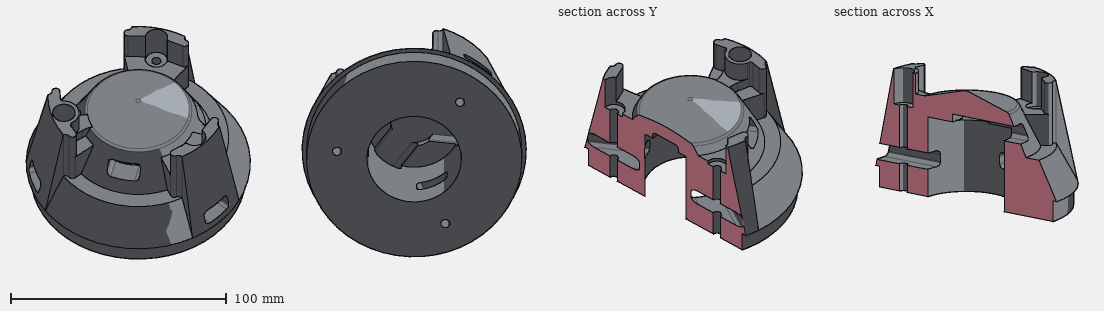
import cadquery as cq
import math

BASE_TOP = 10.0
SHOULDER_Z = 28.3
FLAT_Z = 43.3
WEB_TOP = 48.4
APEX_Z = 54.7
TOTAL_HEIGHT = 58.2
CEILING_Z = 38.3
COUNTERBORE_FLOOR = 41.5

RIM_RADIUS = 51.9
BASE_RADIUS = 49.8
SHOULDER_RADIUS = 41.8
DOME_FOOT_RADIUS = 34.5
DOME_EDGE_RADIUS = 24.4
DOME_EDGE_Z = 48.2
DOME_EDGE_ROUND = 1.9
APEX_RADIUS = 1.1
BORE_RADIUS = 21.8
CORE_RADIUS = 10.9
RECESS_FLAT_Y = -7.8

WINDOW_WIDTH = 15.5
WINDOW_HEIGHT = 7.7
WINDOW_ROUND = 2.1
LOWER_WINDOW_Z = 17.1
UPPER_WINDOW_Z = 38.2

COLUMN_ANGLES = (0, 120, 240)
HALF_TURN = 180
SCREW_CIRCLE = 35.9
SCREW_RADIUS = 2.1
COUNTERBORE_RADIUS = 5.2
FLAT_HALF_ANGLE = math.radians(23.4)
FLANK_HALF_ANGLE = math.radians(17.5)
FLANK_START = 39.9
INNER_WALL_MID = 36.9
INNER_WALL_SLOPE = 0.22
LIP_ROUND = 1.9
LIP_END_ANGLE = math.radians(72)

BOSS_RADIUS = 7.1
WEB_HALF_WIDTH = 3.9
WEB_CURVE = 13.0
WEB_FLARE = math.radians(20)
WEB_INNER_END = 20.8
BOSS_NECK = (7.5, 34.9)
NECK_START_RADIUS = 34.4
NECK_END_HALF_WIDTH = 8.6

OUTSIDE = 62.3


def at(point):
    """Turn (half width, distance from the axis) into XY, with the column toward -Y."""
    half_width, distance = point
    return (half_width, -distance)


def both_sides(half):
    return half.union(half.mirror("YZ"))


def turned(shape, angle):
    return shape.rotate((0, 0, 0), (0, 0, 1), angle)


def turned_body():
    body = (
        cq.Workplane("XZ")
        .polyline([
            (0, 0),
            (BASE_RADIUS, 0),
            (BASE_RADIUS, BASE_TOP),
            (RIM_RADIUS, BASE_TOP),
            (SHOULDER_RADIUS, SHOULDER_Z),
            (DOME_FOOT_RADIUS, SHOULDER_Z),
            (DOME_EDGE_RADIUS, DOME_EDGE_Z),
            (APEX_RADIUS, APEX_Z),
            (0, APEX_Z),
        ])
        .close()
        .revolve(360, (0, 0), (0, 1))
    )
    band = 0.1
    dome_edge = cq.selectors.BoxSelector(
        (-OUTSIDE, -OUTSIDE, DOME_EDGE_Z - band),
        (OUTSIDE, OUTSIDE, DOME_EDGE_Z + band),
        boundingbox=True,
    )
    return body.edges(dome_edge).fillet(DOME_EDGE_ROUND)


def column_envelope():
    """Cone that bounds the outer faces of all columns."""
    return (
        cq.Workplane("XZ")
        .polyline([
            (0, BASE_TOP),
            (RIM_RADIUS, BASE_TOP),
            (SHOULDER_RADIUS, TOTAL_HEIGHT),
            (0, TOTAL_HEIGHT),
        ])
        .close()
        .revolve(360, (0, 0), (0, 1))
    )


def inner_wall(half_width):
    return (half_width, INNER_WALL_MID - INNER_WALL_SLOPE * half_width)


def lip_centre():
    """Centre of the lip, which is tangent to the inner wall and to the side of the flat."""
    sine = math.sin(FLAT_HALF_ANGLE)
    cosine = math.cos(FLAT_HALF_ANGLE)
    offset_mid = INNER_WALL_MID + LIP_ROUND * math.hypot(1, INNER_WALL_SLOPE)
    half_width = (offset_mid * sine - LIP_ROUND) / (cosine + INNER_WALL_SLOPE * sine)
    return (half_width, offset_mid - INNER_WALL_SLOPE * half_width)


def on_lip(angle):
    """Point on the lip; the angle runs from straight sideways toward the rim."""
    half_width, distance = lip_centre()
    return (half_width + LIP_ROUND * math.cos(angle), distance + LIP_ROUND * math.sin(angle))


def boss_tangent_point():
    """Where the flared side of the web touches the boss."""
    return (
        BOSS_RADIUS * math.cos(WEB_FLARE),
        SCREW_CIRCLE - BOSS_RADIUS * math.sin(WEB_FLARE),
    )


def column(with_boss):
    outline = cq.Workplane("XY").workplane(offset=BASE_TOP)
    if with_boss:
        touch = boss_tangent_point()
        middle_angle = (math.pi / 2 + WEB_FLARE) / 2
        boss_middle = (
            BOSS_RADIUS * math.cos(middle_angle),
            SCREW_CIRCLE - BOSS_RADIUS * math.sin(middle_angle),
        )
        neck_start = (
            touch[0] + (NECK_START_RADIUS - touch[1]) * math.tan(WEB_FLARE),
            NECK_START_RADIUS,
        )
        outline = (
            outline.moveTo(*at((0, SCREW_CIRCLE - BOSS_RADIUS)))
            .threePointArc(at(boss_middle), at(touch))
            .lineTo(*at(neck_start))
            .threePointArc(at(BOSS_NECK), at(inner_wall(NECK_END_HALF_WIDTH)))
        )
    else:
        outline = outline.moveTo(*at(inner_wall(0)))
    flank = math.tan(FLANK_HALF_ANGLE)
    lip_start_angle = -math.pi / 2 - math.atan(INNER_WALL_SLOPE)
    half = (
        outline.lineTo(*at(on_lip(lip_start_angle)))
        .threePointArc(at(on_lip(0)), at(on_lip(LIP_END_ANGLE)))
        .tangentArcPoint(at((FLANK_START * flank, FLANK_START)), relative=False)
        .lineTo(*at((OUTSIDE * flank, OUTSIDE)))
        .lineTo(*at((0, OUTSIDE)))
        .close()
        .extrude(TOTAL_HEIGHT - BASE_TOP)
    )
    return both_sides(half).intersect(column_envelope())


def screw_flat():
    """Flat-topped block with radial sides, from inside the dome to the lips of the column."""
    half = (
        cq.Workplane("XY")
        .workplane(offset=BASE_TOP)
        .polyline([
            at((0, BORE_RADIUS)),
            at((BORE_RADIUS * math.tan(FLAT_HALF_ANGLE), BORE_RADIUS)),
            at(on_lip(-FLAT_HALF_ANGLE)),
            at((0, FLANK_START)),
        ])
        .close()
        .extrude(FLAT_Z - BASE_TOP)
    )
    return both_sides(half)


def web():
    """Flared web between the dome and the full boss."""
    touch = boss_tangent_point()
    flare_width = WEB_HALF_WIDTH + WEB_CURVE * (1 - math.cos(WEB_FLARE))
    flare_radius = touch[1] - (touch[0] - flare_width) / math.tan(WEB_FLARE)
    curve_start = flare_radius - WEB_CURVE * math.sin(WEB_FLARE)
    curve_middle = (
        WEB_HALF_WIDTH + WEB_CURVE * (1 - math.cos(WEB_FLARE / 2)),
        curve_start + WEB_CURVE * math.sin(WEB_FLARE / 2),
    )
    half = (
        cq.Workplane("XY")
        .workplane(offset=CEILING_Z)
        .moveTo(*at((0, WEB_INNER_END)))
        .lineTo(*at((WEB_HALF_WIDTH, WEB_INNER_END)))
        .lineTo(*at((WEB_HALF_WIDTH, curve_start)))
        .threePointArc(at(curve_middle), at((flare_width, flare_radius)))
        .lineTo(*at(touch))
        .lineTo(*at((0, touch[1])))
        .close()
        .extrude(WEB_TOP - CEILING_Z)
    )
    return both_sides(half)


def screw_hole():
    x, y = at((0, SCREW_CIRCLE))
    hole = cq.Workplane("XY").center(x, y).circle(SCREW_RADIUS).extrude(TOTAL_HEIGHT)
    seat = (
        cq.Workplane("XY")
        .workplane(offset=COUNTERBORE_FLOOR)
        .center(x, y)
        .circle(COUNTERBORE_RADIUS)
        .extrude(TOTAL_HEIGHT - COUNTERBORE_FLOOR)
    )
    return hole.union(seat)


def window(mid_height):
    """Rounded slot running from the Z axis out through the -Y wall."""
    return (
        cq.Workplane("XY")
        .box(WINDOW_WIDTH, OUTSIDE, WINDOW_HEIGHT)
        .edges("|Y")
        .fillet(WINDOW_ROUND)
        .translate((0, -OUTSIDE / 2, mid_height))
    )


def upper_window():
    core = cq.Workplane("XY").circle(CORE_RADIUS).extrude(TOTAL_HEIGHT)
    return window(UPPER_WINDOW_Z).cut(core)


def ceiling_recess():
    """Round recess with one flat side, from the bore ceiling to the top of the upper windows."""
    depth = UPPER_WINDOW_Z + WINDOW_HEIGHT / 2 - CEILING_Z
    disc = cq.Workplane("XY").workplane(offset=CEILING_Z).circle(CORE_RADIUS).extrude(depth)
    keep = (
        cq.Workplane("XY")
        .box(2 * OUTSIDE, OUTSIDE, 2 * OUTSIDE)
        .translate((0, RECESS_FLAT_Y + OUTSIDE / 2, 0))
    )
    return disc.intersect(keep)


result = turned_body().union(web())
for angle in COLUMN_ANGLES:
    result = result.union(turned(screw_flat(), angle))
    result = result.union(turned(column(with_boss=(angle == 0)), angle))

result = result.cut(cq.Workplane("XY").circle(BORE_RADIUS).extrude(CEILING_Z))
result = result.cut(ceiling_recess())
for angle in COLUMN_ANGLES:
    result = result.cut(turned(screw_hole(), angle))
    result = result.cut(turned(window(LOWER_WINDOW_Z), angle))
    result = result.cut(turned(upper_window(), angle + HALF_TURN))